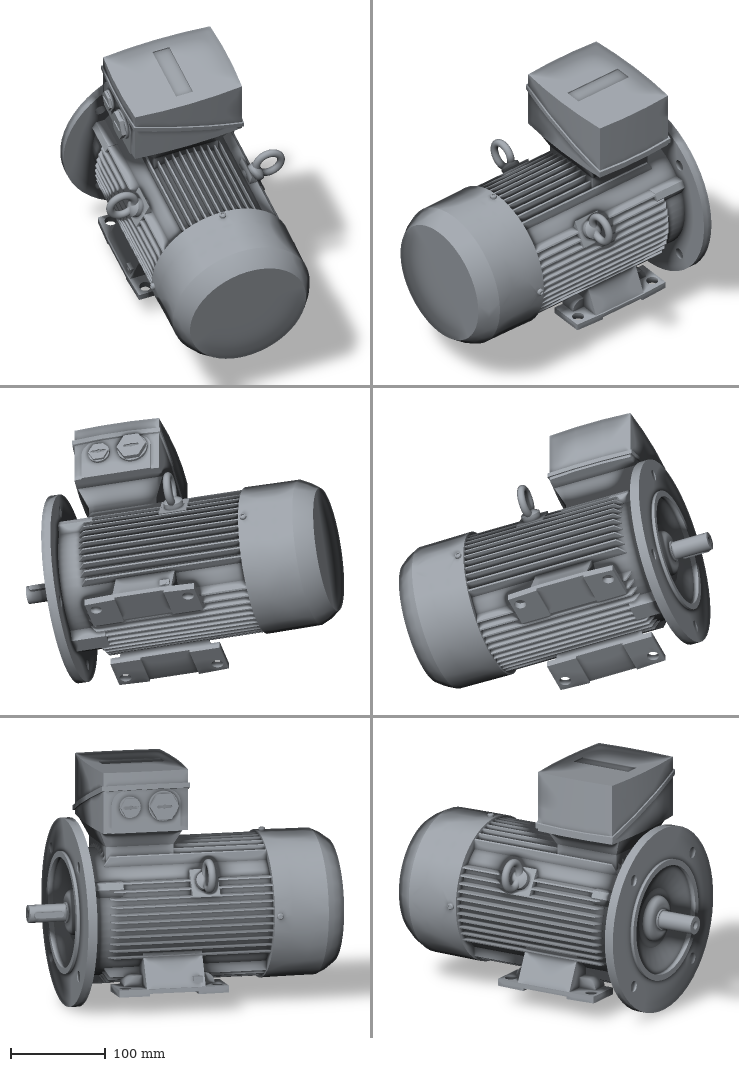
import cadquery as cq
import math


FRAME_HEIGHT = 80.0
SHAFT_LENGTH = 40.0
MOTOR_REAR_X = 287.0
BOX_TOP_Z = 159.0

SHAFT_RADIUS = 9.5
SHOULDER_RADIUS = 11.0
KEY_WIDTH = 6.0
KEY_LENGTH = 32.0
KEY_PROJECTION = 2.8
KEY_TOP = SHAFT_RADIUS + KEY_PROJECTION
CENTRE_HOLE_RADIUS = 2.5
CENTRE_SINK_RADIUS = 4.5
CENTRE_HOLE_DEPTH = 16.0

FLANGE_RADIUS = 100.0
FLANGE_THICKNESS = 10.0
PILOT_RADIUS = 65.0
PILOT_HEIGHT = 3.5
FLANGE_BOLT_CIRCLE = 165.0
FLANGE_HOLE_DIAMETER = 12.0
RECESS_RADIUS = 58.7
RECESS_WALL_X = 2.0
RECESS_FLOOR_RADIUS = 32.0
RECESS_FLOOR_X = 10.0
HUB_BASE_RADIUS = 24.5
HUB_TIP_RADIUS = 16.0
HUB_TIP_X = 2.0
HUB_ARC_X = 4.4
HUB_ARC_RADIUS = 22.0

HOUSING_RADIUS = 67.6
FIN_START_X = 32.6
FIN_FULL_X = 38.8
FIN_TIP_RADIUS = 76.0
FIN_ROOT_START_RADIUS = 68.5
FIN_PITCH = 8.0
FIN_THICKNESS = 1.5
FINS_EACH_SIDE_OF_CENTRE = 5

COVER_FRONT_X = 208.5
COVER_FRONT_RADIUS = 78.2
COVER_EDGE_X = 267.3
COVER_EDGE_RADIUS = 77.5
COVER_REAR_RADIUS = 65.7
COVER_ARC_X = 278.5
COVER_ARC_RADIUS = 72.2
SCREW_X = 214.1
SCREW_RADIUS = 3.5
SCREW_TOP = 81.5
SCREW_CHAMFER = 1.0
SCREW_SOCKET_RADIUS = 1.8
SCREW_SOCKET_DEPTH = 1.5

LIFT_ANGLE = 30.0
LIFT_FLAT_RADIUS = 75.8
EYE_X = 135.5
PAD_SIDE = 30.0
PAD_ROOT_Y = 55.0
EYE_BOSS_RADIUS = 10.3
EYE_BOSS_HEIGHT = 6.0
EYE_DOME_HEIGHT = 4.0
EYE_OUTER_RADIUS = 18.0
EYE_TUBE_RADIUS = 4.0
OVERALL_WIDTH = 201.67
EYE_REACH = OVERALL_WIDTH / 2
LUG_FLAT_WIDTH = 8.0
LUG_REAR_X = 47.0
LUG_LOWER_Z = 25.4
LUG_INNER_Y = 46.0
BOTTOM_LUG_ROOT_HALF = 14.6
BOTTOM_LUG_TIP_HALF = 9.6
BOTTOM_LUG_ROOT_Z = -66.0

FOOT_CENTRE_X = 100.0
FOOT_LENGTH = 119.0
FOOT_HOLE_SPACING_X = 100.0
FOOT_HOLE_SPACING_Y = 125.0
FOOT_HOLE_DIAMETER = 12.5
FOOT_THICKNESS = 7.5
FOOT_TOP_Z = FOOT_THICKNESS - FRAME_HEIGHT
FOOT_INNER_Y = 35.0
FOOT_MIDDLE_Y = 75.2
FOOT_END_Y = 73.3
FOOT_MIDDLE_LENGTH = 50.2
FOOT_RELIEF_LENGTH = 53.4
FOOT_RELIEF_HEIGHT = 2.8
FOOT_BLOCK_X = (70.5, 134.5)
FOOT_BLOCK_TOP = (56.7, -36.8)
FOOT_BLOCK_BASE_Y = 73.5
FOOT_RIB_LENGTH = 98.0
FOOT_RIB_HEIGHT = 11.2
FOOT_RIB_Y = 53.0
FOOT_RIB_CORNER = 10.5
EARTH_X = 126.7
EARTH_WIDTH = 10.3
EARTH_Z = (-68.3, -61.5)
EARTH_Y = 72.5
EARTH_SCREW_RADIUS = 2.3
EARTH_SCREW_Z = -66.0
EARTH_SCREW_HEIGHT = 0.8

BOX_CENTRE_X = 72.1
BOX_CENTRE_Y = -1.0
BOX_HALF_X = 46.0
BOX_HALF_Y = 60.5
BOX_BOW_X = 3.2
BOX_BOW_Y = 2.1
BOX_BOTTOM_Z = 94.0
RIM_OVERHANG = 1.8
RIM_THICKNESS = 5.4
RIM_MIDDLE_Z = 121.2
RIM_SLOPE = 0.34
NECK_HALF_X = 36.7
NECK_TOP_HALF_Y = 46.0
NECK_HALF_Y = 36.0
NECK_Z = 74.6
NECK_ROOT_Z = 52.0
NAMEPLATE_LENGTH = 68.0
NAMEPLATE_WIDTH = 19.0
NAMEPLATE_DEPTH = 1.5
PANEL_HALF_X = 37.5
PANEL_TOP_Z = 139.0
PANEL_CORNER = 15.0
PANEL_Y = -63.8
GLAND_Z = 122.0
GLAND_COLLAR_Y = -66.6
GLANDS = ((54.0, 11.4, 19.0, -69.3, 17.0), (90.3, 16.0, 27.2, -71.5, 16.5))
GLAND_SLOT_WIDTH = 3.0
GLAND_SLOT_EYE_RADIUS = 2.3
GLAND_SLOT_DEPTH = 1.5


def block(x_range, y_range, z_range):
    """Box between the given limits."""
    size = [high - low for low, high in (x_range, y_range, z_range)]
    corner = (x_range[0], y_range[0], z_range[0])
    return cq.Workplane("XY").box(*size, centered=False).translate(corner)


def prism_x(points, x_start, x_end):
    """Extrude a closed (Y, Z) polygon along X."""
    plane = cq.Workplane("YZ").workplane(offset=x_start)
    return plane.polyline(points).close().extrude(x_end - x_start)


def rod_y(x, z, radius, y_start, y_end):
    """Cylinder along Y between two Y positions."""
    plane = cq.Workplane("XZ", origin=(x, y_start, z))
    return plane.circle(radius).extrude(y_start - y_end)


def both_sides(shape):
    """Shape together with its mirror image across the XZ plane."""
    return shape.union(shape.mirror("XZ"))


def make_flange_and_housing():
    """Turned body: recessed flange with its hub, the smooth housing and the fan cover."""
    profile = (
        cq.Workplane("XY")
        .moveTo(HUB_TIP_X, 0)
        .lineTo(HUB_TIP_X, HUB_TIP_RADIUS)
        .threePointArc((HUB_ARC_X, HUB_ARC_RADIUS), (RECESS_FLOOR_X, HUB_BASE_RADIUS))
        .lineTo(RECESS_FLOOR_X, RECESS_FLOOR_RADIUS)
        .lineTo(RECESS_WALL_X, RECESS_RADIUS)
        .lineTo(-PILOT_HEIGHT, RECESS_RADIUS)
        .lineTo(-PILOT_HEIGHT, PILOT_RADIUS)
        .lineTo(0, PILOT_RADIUS)
        .lineTo(0, FLANGE_RADIUS)
        .lineTo(FLANGE_THICKNESS, FLANGE_RADIUS)
        .lineTo(FLANGE_THICKNESS, HOUSING_RADIUS)
        .lineTo(COVER_FRONT_X, HOUSING_RADIUS)
        .lineTo(COVER_FRONT_X, COVER_FRONT_RADIUS)
        .lineTo(COVER_EDGE_X, COVER_EDGE_RADIUS)
        .threePointArc((COVER_ARC_X, COVER_ARC_RADIUS), (MOTOR_REAR_X, COVER_REAR_RADIUS))
        .lineTo(MOTOR_REAR_X, 0)
        .close()
    )
    body = profile.revolve(360, (0, 0, 0), (1, 0, 0))
    hole_offset = FLANGE_BOLT_CIRCLE / 2 * math.sqrt(0.5)
    holes = (
        cq.Workplane("YZ")
        .rect(2 * hole_offset, 2 * hole_offset, forConstruction=True)
        .vertices()
        .circle(FLANGE_HOLE_DIAMETER / 2)
        .extrude(FLANGE_THICKNESS)
    )
    return body.cut(holes)


def make_shaft():
    """Output shaft with shoulder, round-ended key on the -Y side and a centre hole."""
    shaft = cq.Workplane("YZ").workplane(offset=-SHAFT_LENGTH).circle(SHAFT_RADIUS)
    shaft = shaft.extrude(SHAFT_LENGTH + HUB_TIP_X)
    shaft = shaft.union(cq.Workplane("YZ").circle(SHOULDER_RADIUS).extrude(HUB_TIP_X))
    key = (
        cq.Workplane("XZ")
        .center(-SHAFT_LENGTH / 2, 0)
        .slot2D(KEY_LENGTH, KEY_WIDTH)
        .extrude(KEY_TOP)
    )
    sink_depth = CENTRE_SINK_RADIUS - CENTRE_HOLE_RADIUS
    centre_hole = (
        cq.Workplane("XY")
        .moveTo(-SHAFT_LENGTH, 0)
        .lineTo(-SHAFT_LENGTH, CENTRE_SINK_RADIUS)
        .lineTo(sink_depth - SHAFT_LENGTH, CENTRE_HOLE_RADIUS)
        .lineTo(CENTRE_HOLE_DEPTH - SHAFT_LENGTH, CENTRE_HOLE_RADIUS)
        .lineTo(CENTRE_HOLE_DEPTH - SHAFT_LENGTH, 0)
        .close()
        .revolve(360, (0, 0, 0), (1, 0, 0))
    )
    return shaft.union(key).cut(centre_hole)


def make_fins():
    """Parallel upright and level fins, trimmed to a round envelope with a coned front."""
    length = COVER_FRONT_X - FIN_START_X
    middle = (FIN_START_X + length / 2, 0, 0)
    span = 2 * FIN_TIP_RADIUS
    root = HOUSING_RADIUS - FIN_THICKNESS
    envelope = (
        cq.Workplane("XY")
        .moveTo(FIN_START_X, 0)
        .lineTo(FIN_START_X, FIN_ROOT_START_RADIUS)
        .lineTo(FIN_FULL_X, FIN_TIP_RADIUS)
        .lineTo(COVER_FRONT_X, FIN_TIP_RADIUS)
        .lineTo(COVER_FRONT_X, 0)
        .close()
        .revolve(360, (0, 0, 0), (1, 0, 0))
    )
    fins = cq.Workplane("YZ").workplane(offset=FIN_START_X).circle(root).extrude(length)
    for index in range(-FINS_EACH_SIDE_OF_CENTRE, FINS_EACH_SIDE_OF_CENTRE + 1):
        offset = index * FIN_PITCH
        upright = cq.Workplane("XY").box(length, FIN_THICKNESS, span).translate(middle)
        level = cq.Workplane("XY").box(length, span, FIN_THICKNESS).translate(middle)
        fins = fins.union(upright.translate((0, offset, 0)))
        fins = fins.union(level.translate((0, 0, offset)))
    return fins.intersect(envelope)


def make_cover_screws():
    """Socket screws around the fan cover: one on top and one on each side."""
    screw = cq.Workplane("XY").circle(SCREW_RADIUS).extrude(SCREW_TOP)
    screw = screw.faces(">Z").edges().chamfer(SCREW_CHAMFER)
    socket = cq.Workplane("XY").workplane(offset=SCREW_TOP - SCREW_SOCKET_DEPTH)
    screw = screw.cut(socket.circle(SCREW_SOCKET_RADIUS).extrude(SCREW_SOCKET_DEPTH))
    screw = screw.translate((SCREW_X, 0, 0))
    screws = screw
    for angle in (-90, 90):
        screws = screws.union(screw.rotate((0, 0, 0), (1, 0, 0), angle))
    return screws


def lift_point(radius, along):
    """(Y, Z) at a radius on the lifting axis, shifted along its tangent."""
    angle = math.radians(LIFT_ANGLE)
    y = radius * math.cos(angle) - along * math.sin(angle)
    z = radius * math.sin(angle) + along * math.cos(angle)
    return (y, z)


def make_lifting_eyes():
    """On each side a square pad just below the fin tips, a domed round boss and a ring."""
    pad_upper = lift_point(LIFT_FLAT_RADIUS, PAD_SIDE / 2)
    pad_lower = lift_point(LIFT_FLAT_RADIUS, -PAD_SIDE / 2)
    root_z = FINS_EACH_SIDE_OF_CENTRE * FIN_PITCH
    pad_points = [pad_upper, pad_lower, (PAD_ROOT_Y, pad_lower[1]), (PAD_ROOT_Y, root_z)]
    pad = prism_x(pad_points, EYE_X - PAD_SIDE / 2, EYE_X + PAD_SIDE / 2)

    axis_y, axis_z = lift_point(1, 0)
    boss_base = (EYE_X, HOUSING_RADIUS * axis_y, HOUSING_RADIUS * axis_z)
    boss_plane = cq.Plane(origin=boss_base, xDir=(1, 0, 0), normal=(0, axis_y, axis_z))
    boss_length = LIFT_FLAT_RADIUS + EYE_BOSS_HEIGHT - HOUSING_RADIUS
    boss_top = boss_length + EYE_DOME_HEIGHT
    dome_radius = (EYE_BOSS_RADIUS**2 + EYE_DOME_HEIGHT**2) / (2 * EYE_DOME_HEIGHT)
    dome = cq.Workplane(boss_plane).workplane(offset=boss_top - dome_radius).sphere(dome_radius)
    boss = cq.Workplane(boss_plane).circle(EYE_BOSS_RADIUS).extrude(boss_top).intersect(dome)

    ring_y = EYE_REACH - EYE_OUTER_RADIUS
    ring_z = ring_y * axis_z / axis_y
    ring = cq.Workplane(
        cq.Solid.makeTorus(
            EYE_OUTER_RADIUS - EYE_TUBE_RADIUS,
            EYE_TUBE_RADIUS,
            cq.Vector(EYE_X, ring_y, ring_z),
            cq.Vector(1, 0, 0),
        )
    )
    return both_sides(pad.union(boss).union(ring))


def make_lugs():
    """Side lugs behind the flange, and one lug underneath."""
    upper = lift_point(LIFT_FLAT_RADIUS, LUG_FLAT_WIDTH / 2)
    lower = lift_point(LIFT_FLAT_RADIUS, -LUG_FLAT_WIDTH / 2)
    root_y = math.sqrt(HOUSING_RADIUS**2 - LUG_LOWER_Z**2)
    points = [
        upper,
        lower,
        (root_y, LUG_LOWER_Z),
        (LUG_INNER_Y, LUG_LOWER_Z),
        (LUG_INNER_Y, upper[1]),
    ]
    side_lugs = both_sides(prism_x(points, FLANGE_THICKNESS, LUG_REAR_X))
    bottom_points = [
        (-BOTTOM_LUG_ROOT_HALF, BOTTOM_LUG_ROOT_Z),
        (-BOTTOM_LUG_TIP_HALF, -FIN_TIP_RADIUS),
        (BOTTOM_LUG_TIP_HALF, -FIN_TIP_RADIUS),
        (BOTTOM_LUG_ROOT_HALF, BOTTOM_LUG_ROOT_Z),
    ]
    bottom_lug = prism_x(bottom_points, FLANGE_THICKNESS, LUG_REAR_X)
    return side_lugs.union(bottom_lug)


def make_foot_plate():
    """Plate on the -Y side, relieved under its middle, tapering toward its ends."""
    half_length = FOOT_LENGTH / 2
    half_middle = FOOT_MIDDLE_LENGTH / 2
    outline = [
        (-half_length, -FOOT_INNER_Y),
        (-half_length, -FOOT_END_Y),
        (-half_middle, -FOOT_MIDDLE_Y),
        (half_middle, -FOOT_MIDDLE_Y),
        (half_length, -FOOT_END_Y),
        (half_length, -FOOT_INNER_Y),
    ]
    plate = (
        cq.Workplane("XY", origin=(FOOT_CENTRE_X, 0, -FRAME_HEIGHT))
        .polyline(outline)
        .close()
        .extrude(FOOT_THICKNESS)
    )
    relief = block(
        (FOOT_CENTRE_X - FOOT_RELIEF_LENGTH / 2, FOOT_CENTRE_X + FOOT_RELIEF_LENGTH / 2),
        (-FOOT_MIDDLE_Y, -FOOT_INNER_Y),
        (-FRAME_HEIGHT, FOOT_RELIEF_HEIGHT - FRAME_HEIGHT),
    )
    holes = (
        cq.Workplane("XY", origin=(FOOT_CENTRE_X, -FOOT_HOLE_SPACING_Y / 2, FOOT_TOP_Z))
        .pushPoints([(-FOOT_HOLE_SPACING_X / 2, 0), (FOOT_HOLE_SPACING_X / 2, 0)])
        .circle(FOOT_HOLE_DIAMETER / 2)
        .extrude(-FOOT_THICKNESS)
    )
    return plate.cut(relief).cut(holes)


def make_feet():
    """Plates joined to the housing by a sloping block and a long round-cornered rib."""
    block_y, block_z = FOOT_BLOCK_TOP
    sloping_block = prism_x(
        [
            (-FOOT_BLOCK_BASE_Y, FOOT_TOP_Z),
            (-block_y, block_z),
            (-FOOT_INNER_Y, block_z),
            (-FOOT_INNER_Y, FOOT_TOP_Z),
        ],
        *FOOT_BLOCK_X,
    )
    half_rib = FOOT_RIB_LENGTH / 2
    rib = block(
        (FOOT_CENTRE_X - half_rib, FOOT_CENTRE_X + half_rib),
        (-FOOT_RIB_Y, -FOOT_INNER_Y),
        (FOOT_TOP_Z, FOOT_TOP_Z + FOOT_RIB_HEIGHT),
    )
    rib = rib.edges("|Y and >Z").fillet(FOOT_RIB_CORNER)
    foot = make_foot_plate().union(sloping_block).union(rib)
    return both_sides(foot).union(make_earth_terminal())


def make_earth_terminal():
    """Small earthing pad and screw on the -Y foot block."""
    half_width = EARTH_WIDTH / 2
    pad = block((EARTH_X - half_width, EARTH_X + half_width), (-EARTH_Y, -FOOT_BLOCK_TOP[0]), EARTH_Z)
    screw_end_y = -EARTH_Y - EARTH_SCREW_HEIGHT
    screw = rod_y(EARTH_X, EARTH_SCREW_Z, EARTH_SCREW_RADIUS, -EARTH_Y, screw_end_y)
    return pad.union(screw)


def bowed_block(overhang, z_low, z_high):
    """Upright block whose four sides bulge outward, enlarged all round by an overhang."""
    half_x = BOX_HALF_X + overhang
    half_y = BOX_HALF_Y + overhang
    return (
        cq.Workplane("XY", origin=(BOX_CENTRE_X, BOX_CENTRE_Y, z_low))
        .moveTo(-half_x, -half_y)
        .threePointArc((0, -half_y - BOX_BOW_Y), (half_x, -half_y))
        .threePointArc((half_x + BOX_BOW_X, 0), (half_x, half_y))
        .threePointArc((0, half_y + BOX_BOW_Y), (-half_x, half_y))
        .threePointArc((-half_x - BOX_BOW_X, 0), (-half_x, -half_y))
        .close()
        .extrude(z_high - z_low)
    )


def make_sloping_rim():
    """Joint rim between the lid and the box, sloping down toward +Y."""
    reach = 2 * BOX_HALF_Y
    rise = RIM_SLOPE * reach
    half_thickness = RIM_THICKNESS / 2
    slab = prism_x(
        [
            (BOX_CENTRE_Y - reach, RIM_MIDDLE_Z + rise - half_thickness),
            (BOX_CENTRE_Y - reach, RIM_MIDDLE_Z + rise + half_thickness),
            (BOX_CENTRE_Y + reach, RIM_MIDDLE_Z - rise + half_thickness),
            (BOX_CENTRE_Y + reach, RIM_MIDDLE_Z - rise - half_thickness),
        ],
        BOX_CENTRE_X - reach,
        BOX_CENTRE_X + reach,
    )
    return bowed_block(RIM_OVERHANG, BOX_BOTTOM_Z, BOX_TOP_Z).intersect(slab)


def funnel_outline(top_half, neck_half):
    """Half-width and height points of the neck along one horizontal axis."""
    return [
        (-top_half, BOX_BOTTOM_Z),
        (-neck_half, NECK_Z),
        (-neck_half, NECK_ROOT_Z),
        (neck_half, NECK_ROOT_Z),
        (neck_half, NECK_Z),
        (top_half, BOX_BOTTOM_Z),
    ]


def make_box_neck():
    """Funnel from the box down to the housing, tapering along both X and Y."""
    across = prism_x(
        funnel_outline(NECK_TOP_HALF_Y, NECK_HALF_Y),
        BOX_CENTRE_X - BOX_HALF_X,
        BOX_CENTRE_X + BOX_HALF_X,
    )
    along = (
        cq.Workplane("XZ", origin=(BOX_CENTRE_X, 0, 0))
        .polyline(funnel_outline(BOX_HALF_X, NECK_HALF_X))
        .close()
        .extrude(NECK_TOP_HALF_Y, both=True)
    )
    return across.intersect(along)


def make_gland_panel():
    """Flat raised panel with rounded upper corners on the -Y side of the box."""
    panel = block(
        (BOX_CENTRE_X - PANEL_HALF_X, BOX_CENTRE_X + PANEL_HALF_X),
        (PANEL_Y, BOX_CENTRE_Y),
        (BOX_BOTTOM_Z, PANEL_TOP_Z),
    )
    return panel.edges("|Y and >Z").fillet(PANEL_CORNER)


def make_gland(x, collar_radius, across_flats, face_y, slot_length):
    """Blanking plug: round collar and hexagon head with a screwdriver slot."""
    collar = rod_y(x, GLAND_Z, collar_radius, PANEL_Y, GLAND_COLLAR_Y)
    corner_diameter = across_flats / math.cos(math.radians(30))
    head = (
        cq.Workplane("XZ", origin=(x, GLAND_COLLAR_Y, GLAND_Z))
        .polygon(6, corner_diameter)
        .extrude(GLAND_COLLAR_Y - face_y)
    )
    slot = (
        cq.Workplane("XZ", origin=(x, face_y, GLAND_Z))
        .slot2D(slot_length, GLAND_SLOT_WIDTH)
        .extrude(-GLAND_SLOT_DEPTH)
    )
    slot_eye = rod_y(x, GLAND_Z, GLAND_SLOT_EYE_RADIUS, face_y, face_y + GLAND_SLOT_DEPTH)
    return collar.union(head).cut(slot).cut(slot_eye)


def make_terminal_box():
    """Terminal box with neck, sloping rim, gland panel and nameplate recess."""
    box = bowed_block(0, BOX_BOTTOM_Z, BOX_TOP_Z).union(make_box_neck())
    box = box.union(make_sloping_rim()).union(make_gland_panel())
    for gland in GLANDS:
        box = box.union(make_gland(*gland))
    recess = (
        cq.Workplane("XY", origin=(BOX_CENTRE_X, BOX_CENTRE_Y, BOX_TOP_Z))
        .rect(NAMEPLATE_LENGTH, NAMEPLATE_WIDTH)
        .extrude(-NAMEPLATE_DEPTH)
    )
    return box.cut(recess)


result = make_flange_and_housing()
for feature in (
    make_fins(),
    make_shaft(),
    make_cover_screws(),
    make_lugs(),
    make_lifting_eyes(),
    make_feet(),
    make_terminal_box(),
):
    result = result.union(feature)